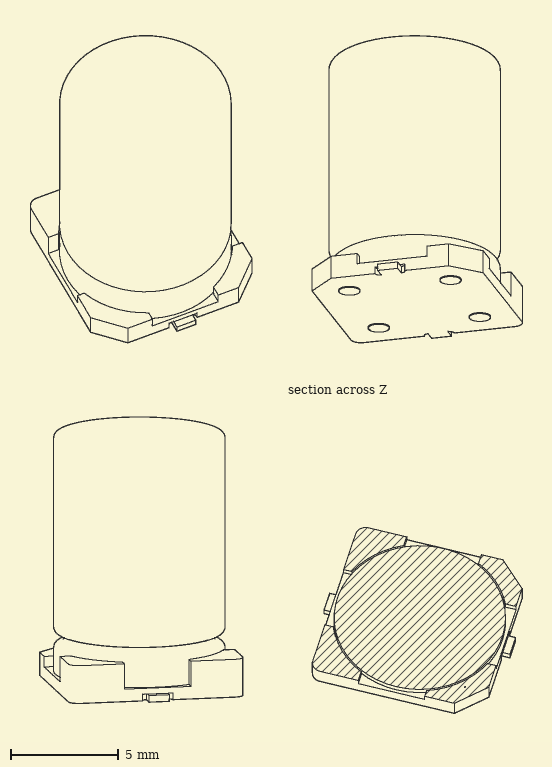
import cadquery as cq

CAN_RADIUS = 4.0
CAN_TOP = 11.9
CAN_TOP_FILLET = 0.25

GROOVE_CENTER_Z = 2.2
CRIMP_RADIUS = 0.25

BASE_SIZE = 8.3
HALF_BASE = BASE_SIZE / 2
BASE_HEIGHT = 1.8
LOW_CORNER_HEIGHT = 1.1
BASE_FILLET = 0.5
BASE_CHAMFER = 1.3

RIM_FLOOR = 0.6
SEAT_CLEARANCE = 0.05
OPENING_X = 1.8
FRONT_OPENING_X = 1.4
OPENING_Y = 1.58
RIGHT_OPENING_Y = 1.8

TERMINAL_SPAN = 9.0
TERMINAL_WIDTH = 0.97
TERMINAL_HEIGHT = 0.32
RECESS_WIDTH = 1.44
RECESS_DEPTH = 0.25
RECESS_FILLET = (RECESS_WIDTH - TERMINAL_WIDTH) / 2

FOOT_OFFSET = 2.45
FOOT_RADIUS = 0.5
FOOT_HEIGHT = 0.05


def block(x_min, x_max, y_min, y_max, z_min, z_max):
    """Axis-aligned box between the given limits."""
    size = (x_max - x_min, y_max - y_min, z_max - z_min)
    return cq.Workplane("XY").box(*size, centered=False).translate((x_min, y_min, z_min))


def make_can():
    """Can revolved about Z: straight wall, crimp groove with rounded shoulders, top fillet."""
    mouth_radius = CAN_RADIUS - CRIMP_RADIUS
    mouth_bottom = GROOVE_CENTER_Z - CRIMP_RADIUS
    mouth_top = GROOVE_CENTER_Z + CRIMP_RADIUS
    profile = (
        cq.Workplane("XZ")
        .moveTo(0, RIM_FLOOR)
        .lineTo(CAN_RADIUS, RIM_FLOOR)
        .lineTo(CAN_RADIUS, mouth_bottom - CRIMP_RADIUS)
        .tangentArcPoint((mouth_radius, mouth_bottom), relative=False)
        .tangentArcPoint((mouth_radius, mouth_top), relative=False)
        .tangentArcPoint((CAN_RADIUS, mouth_top + CRIMP_RADIUS), relative=False)
        .lineTo(CAN_RADIUS, CAN_TOP)
        .lineTo(0, CAN_TOP)
        .close()
    )
    can = profile.revolve(360, (0, 0, 0), (0, 1, 0)).rotate((0, 0, 0), (0, 0, 1), -90)
    return can.faces(">Z").edges().fillet(CAN_TOP_FILLET)


def make_base():
    """Square base with two rounded and two chamfered corners, stepped rim, can seat and recesses."""
    base = cq.Workplane("XY").box(BASE_SIZE, BASE_SIZE, BASE_HEIGHT, centered=(True, True, False))
    base = base.edges("|Z and <X").fillet(BASE_FILLET)
    base = base.edges("|Z and >X").chamfer(BASE_CHAMFER)

    openings = (
        block(-OPENING_X, OPENING_X, 0, HALF_BASE, RIM_FLOOR, BASE_HEIGHT),
        block(-OPENING_X, FRONT_OPENING_X, -HALF_BASE, 0, RIM_FLOOR, BASE_HEIGHT),
        block(-HALF_BASE, 0, -OPENING_Y, OPENING_Y, RIM_FLOOR, BASE_HEIGHT),
        block(0, HALF_BASE, -OPENING_Y, RIGHT_OPENING_Y, RIM_FLOOR, BASE_HEIGHT),
    )
    for opening in openings:
        base = base.cut(opening)
    base = base.cut(block(0, HALF_BASE, -HALF_BASE, HALF_BASE, LOW_CORNER_HEIGHT, BASE_HEIGHT))

    seat = cq.Workplane("XY", origin=(0, 0, RIM_FLOOR)).circle(CAN_RADIUS + SEAT_CLEARANCE)
    base = base.cut(seat.extrude(BASE_HEIGHT - RIM_FLOOR))

    for side in (-1, 1):
        recess = cq.Workplane("XY").box(
            2 * RECESS_DEPTH, RECESS_WIDTH, TERMINAL_HEIGHT, centered=(True, True, False)
        )
        recess = recess.edges("|Z").fillet(RECESS_FILLET)
        base = base.cut(recess.translate((side * HALF_BASE, 0, 0)))
    return base


def make_terminals():
    """Flat strip through the base whose ends form the two terminals."""
    return cq.Workplane("XY").box(
        TERMINAL_SPAN, TERMINAL_WIDTH, TERMINAL_HEIGHT, centered=(True, True, False)
    )


def make_feet():
    """Four round standoffs below the base."""
    return (
        cq.Workplane("XY")
        .rect(2 * FOOT_OFFSET, 2 * FOOT_OFFSET, forConstruction=True)
        .vertices()
        .circle(FOOT_RADIUS)
        .extrude(-FOOT_HEIGHT)
    )


result = make_base().union(make_can()).union(make_terminals()).union(make_feet())